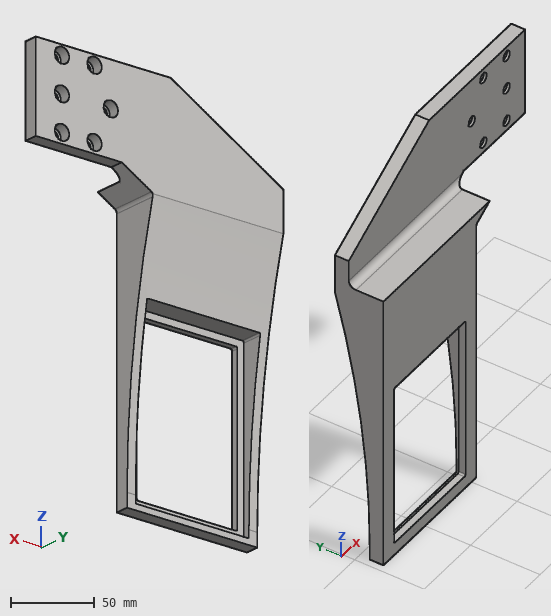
import cadquery as cq
import math

TOTAL_LENGTH = 190.0
TOTAL_DEPTH = 35.0
TOTAL_HEIGHT = 273.93

LEG_WIDTH = 100.0
ARM_HEIGHT = 64.5
BEVEL_HEIGHT = 50.0
SLOPE_ANGLE = 30.0
GUSSET_HEIGHT = 13.93
GUSSET_FILLET = 3.0

ARM_THICKNESS = 10.0
LEG_TIP_THICKNESS = 10.0
STRAIGHT_TIP_HEIGHT = 10.0
BACK_RADIUS = 700.0
STEP_HEIGHT = 203.93
STEP_FILLET = 5.0

WINDOW_WIDTH = 77.0
WINDOW_HEIGHT = 119.5
WINDOW_BOTTOM = 9.3
CORNER_RADIUS = 1.19

LIP_THICKNESS = 5.0
LIP_WIDTH = 5.0

HOLE_DIAMETER = 7.0
COUNTERBORE_DIAMETER = 11.0
COUNTERBORE_DEPTH = 8.0
HOLE_PITCH = 25.0
HOLE_TOP_MARGIN = 7.0
HOLE_END_MARGIN = 20.0
OFFSET_HOLE_SHIFT = 12.5

slope = math.tan(math.radians(SLOPE_ANGLE))

arm_bottom = TOTAL_HEIGHT - ARM_HEIGHT
gusset_bottom = arm_bottom - GUSSET_HEIGHT
arm_front = TOTAL_DEPTH - ARM_THICKNESS


def through_y(sketch):
    """Extrude an XZ sketch through the full depth, toward +Y."""
    return sketch.extrude(-TOTAL_DEPTH)


def make_outline():
    """Leg and arm silhouette, with a sloping gusset under the arm."""
    outline = (
        cq.Workplane("XZ")
        .moveTo(0, 0)
        .lineTo(LEG_WIDTH, 0)
        .lineTo(LEG_WIDTH, gusset_bottom)
        .lineTo(LEG_WIDTH + GUSSET_HEIGHT / slope, arm_bottom)
        .lineTo(TOTAL_LENGTH, arm_bottom)
        .lineTo(TOTAL_LENGTH, TOTAL_HEIGHT)
        .lineTo(BEVEL_HEIGHT / slope, TOTAL_HEIGHT)
        .lineTo(0, TOTAL_HEIGHT - BEVEL_HEIGHT)
        .close()
    )
    corner = cq.selectors.NearestToPointSelector((LEG_WIDTH, TOTAL_DEPTH / 2, gusset_bottom))
    return through_y(outline).edges(corner).fillet(GUSSET_FILLET)


def make_section():
    """Side section: thin arm, filleted step, and a leg whose back curves in toward the tip."""
    back_inset = TOTAL_DEPTH - LEG_TIP_THICKNESS
    back_rise = math.sqrt(BACK_RADIUS**2 - (BACK_RADIUS - back_inset) ** 2)

    return (
        cq.Workplane("YZ")
        .moveTo(0, 0)
        .lineTo(0, STEP_HEIGHT)
        .lineTo(arm_front - STEP_FILLET, STEP_HEIGHT)
        .radiusArc((arm_front, STEP_HEIGHT + STEP_FILLET), -STEP_FILLET)
        .lineTo(arm_front, TOTAL_HEIGHT)
        .lineTo(TOTAL_DEPTH, TOTAL_HEIGHT)
        .lineTo(TOTAL_DEPTH, STRAIGHT_TIP_HEIGHT + back_rise)
        .radiusArc((LEG_TIP_THICKNESS, STRAIGHT_TIP_HEIGHT), -BACK_RADIUS)
        .lineTo(LEG_TIP_THICKNESS, 0)
        .close()
        .extrude(TOTAL_LENGTH)
    )


def make_leg_cutter(margin, front_y):
    """Rounded cutter around the window, grown by a margin, from front_y out through the back."""
    return (
        cq.Workplane("XZ", origin=(LEG_WIDTH / 2, front_y, WINDOW_BOTTOM + WINDOW_HEIGHT / 2))
        .rect(WINDOW_WIDTH + 2 * margin, WINDOW_HEIGHT + 2 * margin)
        .extrude(-TOTAL_DEPTH)
        .edges("|Y")
        .fillet(CORNER_RADIUS)
    )


def make_window():
    """Cutter for the window, centred across the leg."""
    return make_leg_cutter(margin=0, front_y=0)


def make_pocket():
    """Cutter for the pocket that opens at the back of the leg."""
    return make_leg_cutter(margin=LIP_WIDTH, front_y=LIP_THICKNESS)


def make_holes():
    """Cutters for six holes, counterbored from the back face of the arm.

    The end column has three holes; of the three beside it, the middle one is set further in.
    """
    end_column_x = TOTAL_LENGTH - HOLE_END_MARGIN
    inner_column_x = end_column_x - HOLE_PITCH
    middle_z = TOTAL_HEIGHT - HOLE_TOP_MARGIN - HOLE_PITCH
    centres = [(inner_column_x - OFFSET_HOLE_SHIFT, middle_z), (end_column_x, middle_z)]
    for z in (middle_z - HOLE_PITCH, middle_z + HOLE_PITCH):
        centres += [(inner_column_x, z), (end_column_x, z)]

    holes = through_y(cq.Workplane("XZ").pushPoints(centres).circle(HOLE_DIAMETER / 2))
    counterbores = (
        cq.Workplane("XZ", origin=(0, TOTAL_DEPTH, 0))
        .pushPoints(centres)
        .circle(COUNTERBORE_DIAMETER / 2)
        .extrude(COUNTERBORE_DEPTH)
    )
    return holes.union(counterbores)


result = (
    make_outline()
    .intersect(make_section())
    .cut(make_window())
    .cut(make_pocket())
    .cut(make_holes())
)